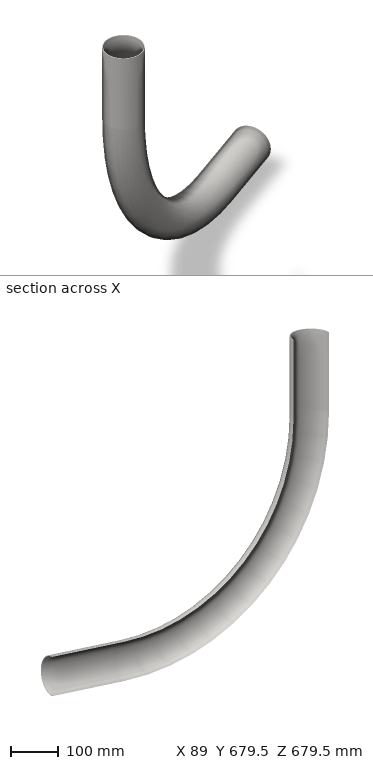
import cadquery as cq

overall_size = 679.5
outer_diameter = 89.0
inner_diameter = 85.5
leg_length = 178.0

centreline_reach = overall_size - outer_diameter / 2
bend_radius = centreline_reach - leg_length


def ring(workplane):
    """Draw the tube's cross-section on a workplane."""
    return workplane.circle(outer_diameter / 2).circle(inner_diameter / 2)


upright_leg = ring(cq.Workplane("XY", origin=(0, 0, bend_radius))).extrude(leg_length)

level_leg = ring(cq.Workplane("XZ", origin=(0, bend_radius, 0))).extrude(-leg_length)

bend = ring(cq.Workplane("XY", origin=(0, 0, bend_radius))).revolve(
    90, (0, bend_radius, 0), (1, bend_radius, 0)
)

result = upright_leg.union(bend).union(level_leg)